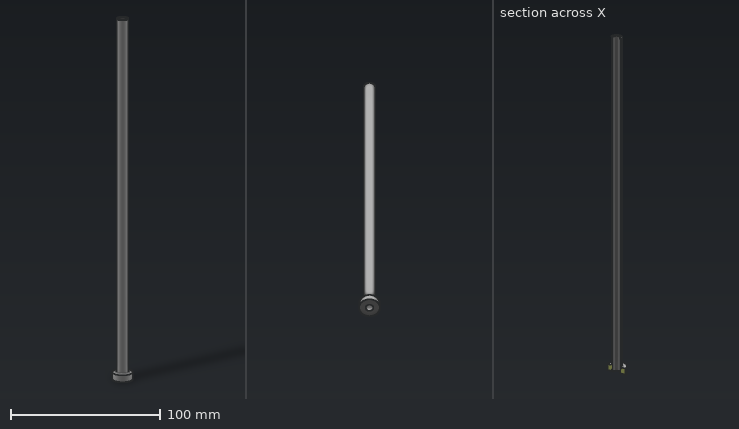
import cadquery as cq

total_length = 255.0
head_diameter = 14.0
head_thickness = 5.0
shank_diameter = 8.0
bore_diameter = 5.0
neck_fillet_radius = 0.5

head_radius = head_diameter / 2
shank_radius = shank_diameter / 2
bore_radius = bore_diameter / 2


def sleeve_body():
    """Headed sleeve with a through bore, revolved about Z from its -X half section."""
    half_section = (
        cq.Workplane("XZ")
        .moveTo(-bore_radius, 0)
        .lineTo(-head_radius, 0)
        .lineTo(-head_radius, head_thickness)
        .lineTo(-shank_radius - neck_fillet_radius, head_thickness)
        .radiusArc((-shank_radius, head_thickness + neck_fillet_radius), -neck_fillet_radius)
        .lineTo(-shank_radius, total_length)
        .lineTo(-bore_radius, total_length)
        .close()
    )
    return half_section.revolve(360, (0, 0, 0), (0, 1, 0))


result = sleeve_body()